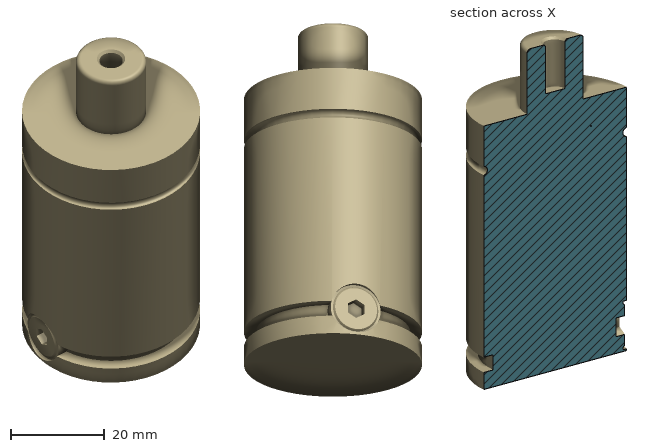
import cadquery as cq

total_height = 75.4
body_radius = 19.0
body_height = 60.55
rod_radius = 15.0 / 2
rod_edge_radius = 1.0

rod_hole_diameter = 5.0
rod_hole_mouth_diameter = 6.0
rod_hole_depth = 11.3

base_flange_height = 4.0
base_groove_top = 7.4
base_groove_radius = 16.5

ring_groove_height = 50.2
ring_groove_round = 1.0

plug_height = 6.0
boss_diameter = 11.0
boss_face_distance = 18.1
plug_diameter = 10.0
plug_chamfer = 0.4
plug_face_distance = boss_face_distance + plug_chamfer
hex_across_corners = 4.2
hex_depth = 2.25


def make_body():
    """Revolve the body and rod about the Z axis."""
    profile = (
        cq.Workplane("XZ")
        .lineTo(body_radius, 0)
        .lineTo(body_radius, base_flange_height)
        .lineTo(base_groove_radius, base_flange_height)
        .lineTo(base_groove_radius, base_groove_top)
        .lineTo(body_radius, base_groove_top)
        .lineTo(body_radius, ring_groove_height - ring_groove_round)
        .threePointArc(
            (body_radius - ring_groove_round, ring_groove_height),
            (body_radius, ring_groove_height + ring_groove_round),
        )
        .lineTo(body_radius, body_height)
        .lineTo(rod_radius, body_height)
        .lineTo(rod_radius, total_height)
        .lineTo(0, total_height)
        .close()
    )
    body = profile.revolve(360, (0, 0), (0, 1))
    return body.faces(">Z").edges().fillet(rod_edge_radius)


def drill_rod(body):
    """Drill the blind hole in the rod end and chamfer its mouth."""
    hole_radius = rod_hole_diameter / 2
    mouth_radius = rod_hole_mouth_diameter / 2
    mouth_depth = mouth_radius - hole_radius
    hole = (
        cq.Workplane("XZ", origin=(0, 0, total_height))
        .lineTo(mouth_radius, 0)
        .lineTo(hole_radius, -mouth_depth)
        .lineTo(hole_radius, -rod_hole_depth)
        .lineTo(0, -rod_hole_depth)
        .close()
        .revolve(360, (0, 0), (0, 1))
    )
    return body.cut(hole)


def plug_plane(distance):
    """Plane facing -Y, centred on the plug axis at a distance from the body axis."""
    return cq.Workplane("XZ", origin=(0, -distance, plug_height))


def add_plug(body):
    """Cut the spot face, then add the boss, plug and hex socket."""
    spot_face = plug_plane(boss_face_distance).circle(boss_diameter / 2).extrude(body_radius)
    boss = plug_plane(boss_face_distance).circle(boss_diameter / 2).extrude(-boss_face_distance)
    plug = (
        plug_plane(plug_face_distance)
        .circle(plug_diameter / 2)
        .extrude(-plug_face_distance)
        .faces("<Y")
        .chamfer(plug_chamfer)
    )
    socket = (
        plug_plane(plug_face_distance)
        .transformed(rotate=(0, 0, 90))
        .polygon(6, hex_across_corners)
        .extrude(-hex_depth)
    )
    return body.cut(spot_face).union(boss).union(plug).cut(socket)


result = add_plug(drill_rod(make_body()))